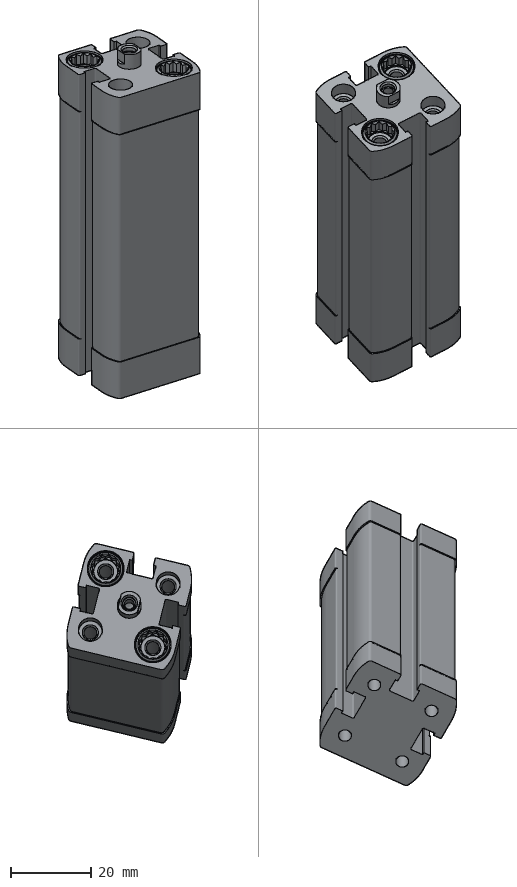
import cadquery as cq
import math

TOTAL_LENGTH = 89.2
CAP_WIDTH = 27.5
CAP_STEP = 0.3
TOP_CAP_HEIGHT = 10.5
BOTTOM_CAP_HEIGHT = 10.35
CROWN_RADIUS = 10.9
CROWN_RUN = 5.7
EDGE_RADIUS = 0.9

SLOT_OFFSET = 0.6
MOUTH_WIDTH = 5.4
CHANNEL_WIDTH = 6.8
SLOT_FLOOR = 8.3
LIP_BACK = 11.7
LIP_RADIUS = 0.4
FLOOR_RADIUS = 0.4

HOLE_SPACING = 16.1
THROUGH_DIAMETER = 3.2
SINK_DIAMETER = 4.0
BORE_DIAMETER = 6.0
BORE_DEPTH = 3.5

GROOVE_DIAMETER = 9.2
GROOVE_FLOOR_DIAMETER = 9.0
GROOVE_INNER_DIAMETER = 8.5
GROOVE_DEPTH = 0.5
CREST_DIAMETER = 7.5
SERRATION_DIAMETER = 7.3
TOOTH_TIP_DIAMETER = 6.4
SERRATION_DEPTH = 3.0
SERRATION_COUNT = 12
TOOTH_TOP_DROP = 0.6

ROD_DIAMETER = 6.0
ROD_PROTRUSION = 4.1
ROD_INSERTION = TOP_CAP_HEIGHT
FLATS_WIDTH = 5.0
FLATS_HEIGHT = 2.8
SHOULDER_DROP = 0.3
ROD_MOUTH_DIAMETER = 4.1
ROD_STEP_DIAMETER = 3.3
ROD_STEP_DEPTH = 1.3
ROD_HOLE_DIAMETER = 2.5
ROD_HOLE_DEPTH = 5.35
DRILL_POINT_ANGLE = 118.0

HOUSING_TOP = TOTAL_LENGTH - ROD_PROTRUSION
ROD_BOTTOM = HOUSING_TOP - ROD_INSERTION


def profile_block(half, bottom, height):
    """Prism with flat sides and four broad corner arcs that end on the left and right sides."""
    tangent = half - CROWN_RUN
    arc_centre = half - CROWN_RADIUS
    arc_end = arc_centre + math.sqrt(CROWN_RADIUS**2 - CROWN_RUN**2)
    mid_x = tangent + CROWN_RUN / 2
    mid_y = arc_centre + math.sqrt(CROWN_RADIUS**2 - (CROWN_RUN / 2) ** 2)
    return (
        cq.Workplane("XY", origin=(0, 0, bottom))
        .moveTo(-tangent, half)
        .lineTo(tangent, half)
        .threePointArc((mid_x, mid_y), (half, arc_end))
        .lineTo(half, -arc_end)
        .threePointArc((mid_x, -mid_y), (tangent, -half))
        .lineTo(-tangent, -half)
        .threePointArc((-mid_x, -mid_y), (-half, -arc_end))
        .lineTo(-half, arc_end)
        .threePointArc((-mid_x, mid_y), (-tangent, half))
        .close()
        .extrude(height)
        .edges("|Z and (<X or >X)")
        .fillet(EDGE_RADIUS)
    )


def slot_cutter(half, bottom, height):
    """T-shaped slot in the +Y side, with rounded floor corners and flared mouth edges."""
    base = cq.Workplane("XY", origin=(-SLOT_OFFSET, 0, bottom))
    channel = (
        base.center(0, (SLOT_FLOOR + LIP_BACK) / 2)
        .rect(CHANNEL_WIDTH, LIP_BACK - SLOT_FLOOR)
        .extrude(height)
        .edges("|Z and <Y")
        .fillet(FLOOR_RADIUS)
    )
    mouth_half = MOUTH_WIDTH / 2
    flare_half = mouth_half + LIP_RADIUS
    arc_inset = LIP_RADIUS * (1 - math.sqrt(0.5))
    mouth = (
        base.moveTo(-mouth_half, SLOT_FLOOR)
        .lineTo(mouth_half, SLOT_FLOOR)
        .lineTo(mouth_half, half - LIP_RADIUS)
        .threePointArc((mouth_half + arc_inset, half - arc_inset), (flare_half, half))
        .lineTo(-flare_half, half)
        .threePointArc((-mouth_half - arc_inset, half - arc_inset), (-mouth_half, half - LIP_RADIUS))
        .close()
        .extrude(height)
    )
    return channel.union(mouth)


def section(half, bottom, height):
    """One length of the housing, slotted in the +Y, -X and -Y sides."""
    body = profile_block(half, bottom, height)
    slot = slot_cutter(half, bottom, height)
    opposite_slot = slot.rotate((0, 0, 0), (0, 0, 1), 180)
    left_slot = slot.mirror("YZ").rotate((0, 0, 0), (0, 0, 1), 90)
    return body.cut(slot).cut(opposite_slot).cut(left_slot)


def cone(top_diameter, bottom_diameter, top, depth):
    """Cone frustum that reaches down from the given height."""
    return cq.Workplane(
        cq.Solid.makeCone(bottom_diameter / 2, top_diameter / 2, depth, cq.Vector(0, 0, top - depth))
    )


def cylinder(diameter, bottom, height):
    """Upright cylinder on the Z axis that stands on the given height."""
    return cq.Workplane("XY", origin=(0, 0, bottom)).circle(diameter / 2).extrude(height)


def mounting_hole():
    """Counterbored through hole with a countersink at the floor of the bore."""
    floor = HOUSING_TOP - BORE_DEPTH
    sink_depth = (SINK_DIAMETER - THROUGH_DIAMETER) / 2
    through = cylinder(THROUGH_DIAMETER, 0, HOUSING_TOP)
    bore = cylinder(BORE_DIAMETER, floor, BORE_DEPTH)
    return through.union(bore).union(cone(SINK_DIAMETER, THROUGH_DIAMETER, floor, sink_depth))


def serrated_socket():
    """Ring of V-shaped teeth with tops sloping inwards, inside a crest and a surrounding groove."""
    crest = cone(CREST_DIAMETER, GROOVE_INNER_DIAMETER, HOUSING_TOP, GROOVE_DEPTH)
    groove = cone(GROOVE_DIAMETER, GROOVE_FLOOR_DIAMETER, HOUSING_TOP, GROOVE_DEPTH).cut(crest)
    points = []
    for i in range(2 * SERRATION_COUNT):
        diameter = SERRATION_DIAMETER if i % 2 == 0 else TOOTH_TIP_DIAMETER
        angle = math.pi * i / SERRATION_COUNT
        points.append((diameter / 2 * math.cos(angle), diameter / 2 * math.sin(angle)))
    teeth = (
        cq.Workplane("XY", origin=(0, 0, HOUSING_TOP - SERRATION_DEPTH))
        .polyline(points)
        .close()
        .extrude(SERRATION_DEPTH)
    )
    tooth_tops = cone(CREST_DIAMETER, TOOTH_TIP_DIAMETER, HOUSING_TOP, TOOTH_TOP_DROP)
    return groove, teeth.union(tooth_tops)


def make_housing():
    """Barrel between two end caps, with four corner holes, two of them serrated, and the rod bore."""
    cap_half = CAP_WIDTH / 2
    top_cap_bottom = HOUSING_TOP - TOP_CAP_HEIGHT
    barrel_length = top_cap_bottom - BOTTOM_CAP_HEIGHT
    body = (
        section(cap_half, 0, BOTTOM_CAP_HEIGHT)
        .union(section(cap_half - CAP_STEP, BOTTOM_CAP_HEIGHT, barrel_length))
        .union(section(cap_half, top_cap_bottom, TOP_CAP_HEIGHT))
    )
    reach = HOLE_SPACING / 2
    for side_x in (-1, 1):
        for side_y in (-1, 1):
            place = (side_x * reach, side_y * reach, 0)
            body = body.cut(mounting_hole().translate(place))
            if side_x == side_y:
                for cutter in serrated_socket():
                    body = body.cut(cutter.translate(place))
    return body.cut(cylinder(ROD_DIAMETER, ROD_BOTTOM, ROD_INSERTION))


def make_rod():
    """Rod end with two wrench flats on sloping shoulders and a stepped blind hole."""
    rod = cylinder(ROD_DIAMETER, ROD_BOTTOM, ROD_INSERTION + ROD_PROTRUSION)
    shoulder = TOTAL_LENGTH - FLATS_HEIGHT
    flat_y = FLATS_WIDTH / 2
    rim_y = ROD_DIAMETER / 2
    cheek = (
        cq.Workplane("YZ", origin=(-ROD_DIAMETER / 2, 0, 0))
        .moveTo(flat_y, TOTAL_LENGTH)
        .lineTo(flat_y, shoulder)
        .lineTo(rim_y, shoulder - SHOULDER_DROP)
        .lineTo(rim_y, TOTAL_LENGTH)
        .close()
        .extrude(ROD_DIAMETER)
    )
    rod = rod.cut(cheek).cut(cheek.mirror("XZ"))

    mouth_depth = (ROD_MOUTH_DIAMETER - ROD_STEP_DIAMETER) / 2
    point_depth = ROD_HOLE_DIAMETER / 2 / math.tan(math.radians(DRILL_POINT_ANGLE / 2))
    hole_floor = TOTAL_LENGTH - ROD_HOLE_DEPTH
    hole = (
        cone(ROD_MOUTH_DIAMETER, ROD_STEP_DIAMETER, TOTAL_LENGTH, mouth_depth)
        .union(cylinder(ROD_STEP_DIAMETER, TOTAL_LENGTH - ROD_STEP_DEPTH, ROD_STEP_DEPTH))
        .union(cylinder(ROD_HOLE_DIAMETER, hole_floor, ROD_HOLE_DEPTH))
        .union(cone(ROD_HOLE_DIAMETER, 0, hole_floor, point_depth))
    )
    return rod.cut(hole)


housing = make_housing()
rod = make_rod()
result = cq.Compound.makeCompound([housing.solids().val(), rod.solids().val()])